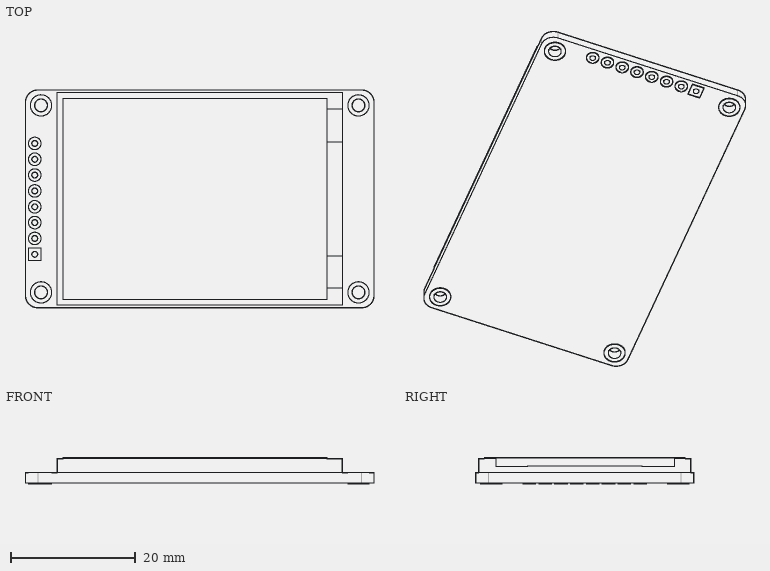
import cadquery as cq

board_length = 56.0
board_width = 35.0
board_thickness = 1.7
corner_radius = 2.0
total_height = 4.25

top_pad_height = 0.035
bottom_pad_height = 0.15

mount_x = 25.5
mount_y = 15.0
mount_hole_diameter = 2.0
mount_pad_diameter = 3.4

pin_count = 8
pin_pitch = 2.54
pin_x = -26.5
pin_hole_diameter = 0.9
pin_pad_size = 2.0

module_x_min = -22.9
module_x_max = 22.9
module_width = 34.1
glass_x_min = -21.95
glass_x_max = 20.45
glass_width = 32.25
glass_height = 0.15

recess_y_min = -14.3
recess_y_max = 14.4
recess_depth = 1.3
step_width = 18.3
step_height = 0.1

board_bottom = bottom_pad_height
board_top = board_bottom + board_thickness
glass_bottom = total_height - glass_height
recess_floor = glass_bottom - recess_depth

mount_points = [(x, y) for x in (-mount_x, mount_x) for y in (-mount_y, mount_y)]
pin_points = [(pin_x, (i - (pin_count - 1) / 2) * pin_pitch) for i in range(pin_count)]


def block(x_min, x_max, y_min, y_max, z_min, z_max):
    """Box between the given limits."""
    box = cq.Workplane("XY").box(x_max - x_min, y_max - y_min, z_max - z_min, centered=False)
    return box.translate((x_min, y_min, z_min))


def cylinders(points, diameter, z_min, z_max):
    """Upright cylinders at the given points."""
    plane = cq.Workplane("XY").workplane(offset=z_min)
    return plane.pushPoints(points).circle(diameter / 2).extrude(z_max - z_min)


def make_board():
    """Board with rounded corners, pads on both faces and drilled holes."""
    board = block(-board_length / 2, board_length / 2, -board_width / 2, board_width / 2,
                  board_bottom, board_top)
    board = board.edges("|Z").fillet(corner_radius)

    pad_top = board_top + top_pad_height
    board = board.union(cylinders(mount_points, mount_pad_diameter, 0, pad_top))
    board = board.union(cylinders(pin_points[1:], pin_pad_size, 0, pad_top))
    square_x, square_y = pin_points[0]
    half_pad = pin_pad_size / 2
    board = board.union(block(square_x - half_pad, square_x + half_pad,
                              square_y - half_pad, square_y + half_pad, 0, pad_top))

    board = board.cut(cylinders(mount_points, mount_hole_diameter, 0, pad_top))
    return board.cut(cylinders(pin_points, pin_hole_diameter, 0, pad_top))


def make_display():
    """Display module with its glass and the stepped recess at the +X end."""
    module = block(module_x_min, module_x_max, -module_width / 2, module_width / 2,
                   board_top, glass_bottom)
    module = module.cut(block(glass_x_max, module_x_max, recess_y_min, recess_y_max,
                              recess_floor, glass_bottom))
    step = block(glass_x_max, module_x_max, -step_width / 2, step_width / 2,
                 recess_floor, recess_floor + step_height)
    glass = block(glass_x_min, glass_x_max, -glass_width / 2, glass_width / 2,
                  glass_bottom, total_height)
    return module.union(step).union(glass)


result = make_board().union(make_display())